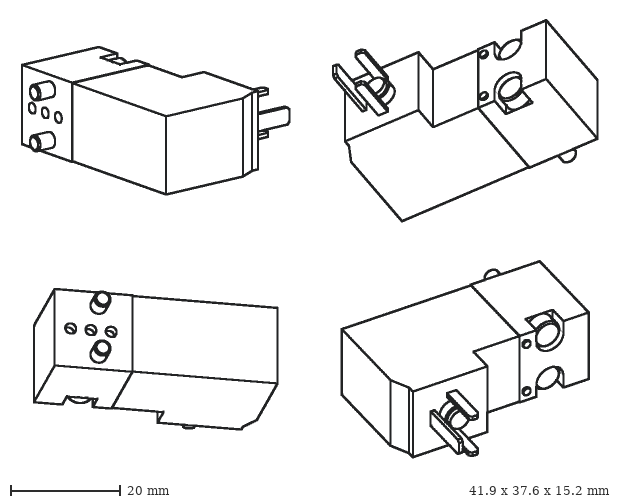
import cadquery as cq

total_length = 41.85
connector_reach = 33.8

block_length = 14.6
block_depth = 18.2
block_height = 15.2

housing_inset = 0.1
housing_height = block_height - 2 * housing_inset
housing_rear = block_depth - housing_inset
step_x = 24.3
connector_face = 23.3
bevel_top_x = 40.05
bevel_offset = 1.4
bevel_top_y = connector_face - bevel_offset
bevel_bottom_y = block_depth

screw_x = 8.2
screw_z = 4.85
screw_diameter = 3.0
screw_protrusion = 3.8
screw_tip_chamfer = 0.3
head_diameter = 5.5
head_height = 3.0
head_chamfer = 0.35
head_pocket_width = 5.7
head_pocket_depth = 4.0

port_diameter = 2.0
port_depth = 2.0
port_first_x = 3.0
port_pitch = 3.8
port_count = 3

stud_x = 13.25
stud_z = 5.4
stud_diameter = 1.52
stud_height = 0.4

boss_x = 31.87
boss_diameter = 5.0
boss_height = 2.0
boss_tip_diameter = 4.0
boss_tip_height = 1.0
blade_thickness = 0.8
contact_blade_width = 2.0
contact_blade_length = 8.6
contact_blade_z = 4.1
ground_blade_width = 3.3
ground_blade_z = -0.05
ground_blade_length = connector_reach - connector_face
ground_blade_offset = 4.0
ground_blade_x = boss_x + ground_blade_offset
blade_tip_chamfer = 0.5


def cylinder(x, y, z, diameter, length):
    """Cylinder that starts at (x, y, z) and runs along +Y."""
    base = cq.Vector(x, y, z)
    direction = cq.Vector(0, 1, 0)
    return cq.Workplane(cq.Solid.makeCylinder(diameter / 2, length, base, direction))


def make_block():
    return cq.Workplane("XY").box(block_length, block_depth, block_height, centered=(False, False, True))


def make_housing():
    outline = [
        (block_length, housing_inset),
        (total_length, housing_inset),
        (total_length, bevel_bottom_y),
        (bevel_top_x, bevel_top_y),
        (bevel_top_x, connector_face),
        (step_x, connector_face),
        (step_x, housing_rear),
        (block_length, housing_rear),
    ]
    return cq.Workplane("XY").polyline(outline).close().extrude(housing_height / 2, both=True)


def make_head_pocket(side):
    """Pocket with a half-round inner end, open to the rear and to the top (1) or underside (-1)."""
    floor_y = block_depth - head_pocket_depth
    round_end = cylinder(screw_x, floor_y, side * screw_z, head_pocket_width, head_pocket_depth)
    opening_height = block_height / 2 - screw_z
    opening = cq.Workplane("XY").box(head_pocket_width, head_pocket_depth, opening_height).translate(
        (screw_x, floor_y + head_pocket_depth / 2, side * (screw_z + opening_height / 2))
    )
    return round_end.union(opening)


def make_screw(side):
    """Screw head in its pocket plus the shank, which runs through the block and out of its face."""
    z = side * screw_z
    floor_y = block_depth - head_pocket_depth
    head = cylinder(screw_x, floor_y, z, head_diameter, head_height).faces(">Y").chamfer(head_chamfer)
    shank = cylinder(screw_x, -screw_protrusion, z, screw_diameter, floor_y + screw_protrusion)
    return head.union(shank.faces("<Y").chamfer(screw_tip_chamfer))


def make_boss():
    base = cylinder(boss_x, connector_face, 0, boss_diameter, boss_height)
    tip = cylinder(boss_x, connector_face + boss_height, 0, boss_tip_diameter, boss_tip_height)
    return base.union(tip)


def make_contact_blade(z):
    """Blade that lies flat, with its width along X."""
    blade = cq.Workplane("XY").box(contact_blade_width, contact_blade_length, blade_thickness)
    blade = blade.edges(">Y and |Z").chamfer(blade_tip_chamfer)
    return blade.translate((boss_x, connector_face + contact_blade_length / 2, z))


def make_ground_blade():
    """Blade that stands upright, with its width along Z."""
    blade = cq.Workplane("XY").box(blade_thickness, ground_blade_length, ground_blade_width)
    blade = blade.edges(">Y and |X").chamfer(blade_tip_chamfer)
    return blade.translate((ground_blade_x, connector_face + ground_blade_length / 2, ground_blade_z))


result = make_block().union(make_housing())

for side in (1, -1):
    result = result.cut(make_head_pocket(side))
    result = result.union(make_screw(side))
    result = result.union(cylinder(stud_x, block_depth, side * stud_z, stud_diameter, stud_height))
    result = result.union(make_contact_blade(side * contact_blade_z))

for index in range(port_count):
    port_x = port_first_x + index * port_pitch
    result = result.cut(cylinder(port_x, 0, 0, port_diameter, port_depth))

result = result.union(make_boss()).union(make_ground_blade())